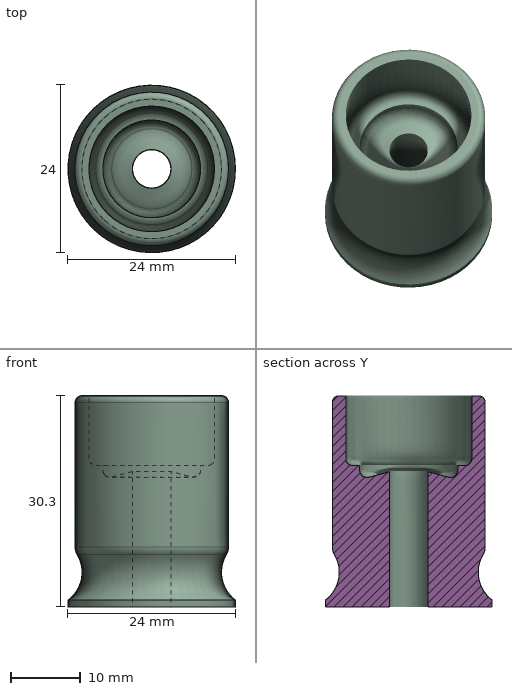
import cadquery as cq
import math

height = 30.32
flange_radius = 12.0
flange_thickness = 1.0
body_radius = 11.0
rim_fillet = 1.0
neck_radius = 10.0
neck_arc_radius = 5.0
shoulder_fillet = 2.0

bore_radius = 9.0
bore_depth = 10.0
bore_fillet = 1.0
cavity_radius = 7.0
cavity_depth = 2.0
floor_slope = 15.0
cavity_fillet = 1.0
hole_radius = 2.745


def outer_body():
    """Revolve the outer silhouette: flange, waist, shoulder, body and rim."""
    neck_center_r = neck_radius + neck_arc_radius
    neck_center_z = flange_thickness + math.sqrt(
        neck_arc_radius**2 - (neck_center_r - flange_radius) ** 2
    )

    shoulder_center_r = body_radius - shoulder_fillet
    center_distance = neck_arc_radius + shoulder_fillet
    center_gap_r = neck_center_r - shoulder_center_r
    center_gap_z = math.sqrt(center_distance**2 - center_gap_r**2)
    shoulder_z = neck_center_z + center_gap_z
    share = neck_arc_radius / center_distance
    tangent_point = (
        neck_center_r - share * center_gap_r,
        neck_center_z + share * center_gap_z,
    )
    half_angle = math.atan2(center_gap_z, center_gap_r) / 2
    shoulder_middle = (
        shoulder_center_r + shoulder_fillet * math.cos(half_angle),
        shoulder_z - shoulder_fillet * math.sin(half_angle),
    )

    profile = (
        cq.Workplane("XZ")
        .lineTo(flange_radius, 0)
        .lineTo(flange_radius, flange_thickness)
        .threePointArc((neck_radius, neck_center_z), tangent_point)
        .threePointArc(shoulder_middle, (body_radius, shoulder_z))
        .lineTo(body_radius, height)
        .lineTo(0, height)
        .close()
    )
    solid = profile.revolve(360, (0, 0, 0), (0, 1, 0))
    return solid.faces(">Z").edges().fillet(rim_fillet)


def upper_bore():
    """Cylindrical bore with a rounded bottom edge."""
    floor = cq.Workplane("XY").workplane(offset=height - bore_depth)
    bore = floor.circle(bore_radius).extrude(bore_depth)
    return bore.faces("<Z").edges().fillet(bore_fillet)


def lower_cavity():
    """Narrower cavity below the ledge, with a conical floor rising inward."""
    ledge_z = height - bore_depth
    wall_bottom_z = ledge_z - cavity_depth
    floor_rise = (cavity_radius - hole_radius) * math.tan(math.radians(floor_slope))
    cavity = (
        cq.Workplane("XZ")
        .moveTo(0, ledge_z)
        .lineTo(cavity_radius, ledge_z)
        .lineTo(cavity_radius, wall_bottom_z)
        .lineTo(hole_radius, wall_bottom_z + floor_rise)
        .lineTo(0, wall_bottom_z + floor_rise)
        .close()
        .revolve(360, (0, 0, 0), (0, 1, 0))
    )
    return cavity.edges("<Z").fillet(cavity_fillet)


center_hole = cq.Workplane("XY").circle(hole_radius).extrude(height)

result = outer_body().cut(upper_bore()).cut(lower_cavity()).cut(center_hole)